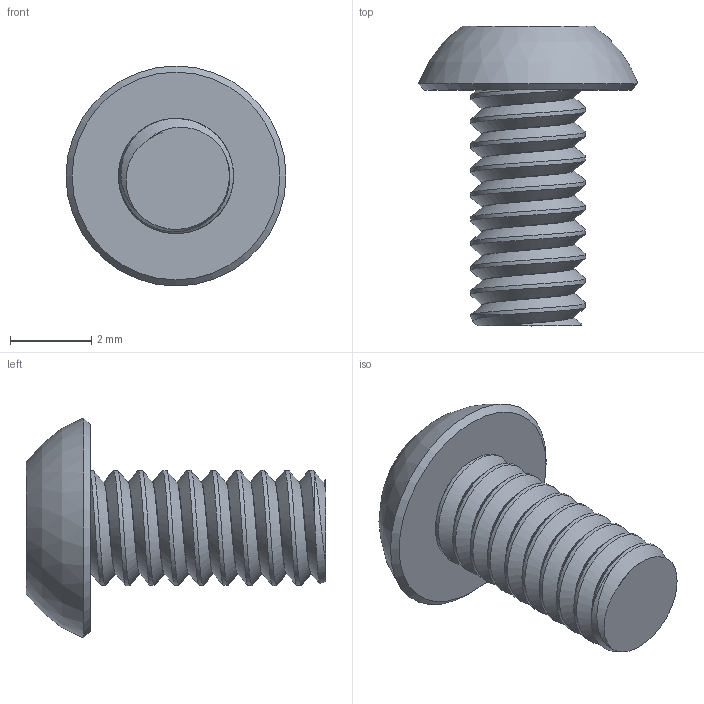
import cadquery as cq
import math


head_radius = 2.7
head_height = 1.57
head_top_radius = 1.615
head_edge_chamfer = 0.15

overall_length = 7.36
shank_length = overall_length - head_height
crest_radius = 1.413
root_radius = 1.125
pitch = 0.6
spare_turns = 2
crest_width = 0.1
root_width = 0.01
core_radius = 1.12
crest_offset = 0.2125

tip_radius = 1.31
tip_length = 0.27

overlap = 0.1


def make_head():
    """Domed head as a revolved half section, underside at Z = 0."""
    dome_base = head_edge_chamfer
    sphere_center = (
        head_height**2 + head_top_radius**2 - dome_base**2 - head_radius**2
    ) / (2 * (head_height - dome_base))
    sphere_radius = math.hypot(head_radius, dome_base - sphere_center)
    mid_height = (dome_base + head_height) / 2
    mid_radius = math.sqrt(sphere_radius**2 - (mid_height - sphere_center) ** 2)
    return (
        cq.Workplane("XZ")
        .lineTo(head_radius - head_edge_chamfer, 0)
        .lineTo(head_radius, dome_base)
        .threePointArc((mid_radius, mid_height), (head_top_radius, head_height))
        .lineTo(0, head_height)
        .close()
        .revolve(360, (0, 0, 0), (0, 1, 0))
    )


def make_thread_ridge():
    """Right-handed helical ridge that runs past both ends of the shank."""
    start_height = crest_offset - spare_turns * pitch - shank_length
    turns = math.ceil(shank_length / pitch) + 2 * spare_turns
    half_base = (pitch - root_width) / 2
    half_crest = crest_width / 2
    inner_radius = root_radius - overlap
    helix = cq.Wire.makeHelix(pitch, turns * pitch, root_radius)
    ridge = (
        cq.Workplane("XZ")
        .moveTo(inner_radius, -half_base)
        .lineTo(root_radius, -half_base)
        .lineTo(crest_radius, -half_crest)
        .lineTo(crest_radius, half_crest)
        .lineTo(root_radius, half_base)
        .lineTo(inner_radius, half_base)
        .close()
        .sweep(cq.Workplane(helix), isFrenet=True)
    )
    return ridge.rotate((0, 0, 0), (0, 0, 1), 180).translate((0, 0, start_height))


def make_thread_envelope():
    """Cylinder around the thread, flat at the end and coned near the tip."""
    envelope_radius = crest_radius + overlap
    cone_start = tip_length - shank_length
    return (
        cq.Workplane("XZ")
        .moveTo(0, -shank_length)
        .lineTo(tip_radius, -shank_length)
        .lineTo(crest_radius, cone_start)
        .lineTo(envelope_radius, cone_start)
        .lineTo(envelope_radius, overlap)
        .lineTo(0, overlap)
        .close()
        .revolve(360, (0, 0, 0), (0, 1, 0))
    )


def make_shank():
    """Threaded core, trimmed at the tip and reaching slightly into the head."""
    core_margin = 2 * spare_turns * pitch
    core = (
        cq.Workplane("XY")
        .workplane(offset=-shank_length - core_margin)
        .circle(core_radius)
        .extrude(shank_length + 2 * core_margin)
    )
    return core.union(make_thread_ridge()).intersect(make_thread_envelope())


screw = make_head().union(make_shank())
result = screw.rotate((0, 0, 0), (1, 0, 0), -90)